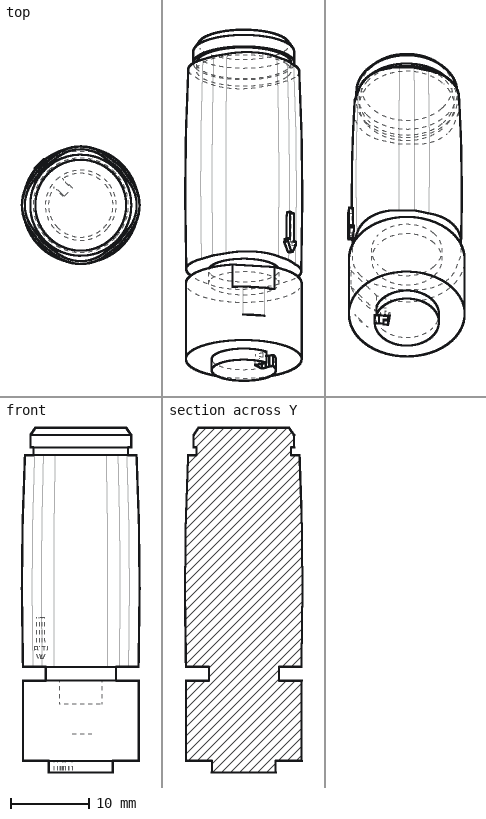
import cadquery as cq
import math

NUT_BOTTOM_Z = 1.5
NUT_TOP_Z = 11.75
SLEEVE_BOTTOM_Z = 13.5
SLEEVE_TOP_Z = 40.5
CAP_BOTTOM_Z = 41.5
TOTAL_HEIGHT = 44.0

TIP_RADIUS = 4.1
NUT_RADIUS = 7.4
NECK_RADIUS = 4.5
GROOVE_RADIUS = 6.05
CAP_RADIUS = 6.45
CAP_TOP_RADIUS = 5.8
CAP_CHAMFER_HEIGHT = 0.95

LOBE_RADIUS = 15.05 / 2
CREASE_RADIUS = 7.1
FACET_EDGE_ANGLE = 29.0
SLEEVE_WIDEST_Z = 23.5
SLEEVE_TOP_LOBE_RADIUS = 7.13
SLEEVE_SECTIONS_ABOVE_WIDEST = 2

DEEP_FLAT_Y = 6.88
SHALLOW_FLAT_Y = 7.27
DEEP_FLAT_BOTTOM_Z = 8.75
SHALLOW_FLAT_BOTTOM_Z = 4.95

KEY_ANGLE = 135.0

KEYWAY_MOUTH_WIDTH = 1.5
KEYWAY_MOUTH_FLOOR_RADIUS = 3.47
KEYWAY_SLOT_WIDTH = 1.36
KEYWAY_FLOOR_RADIUS = 2.3
KEYWAY_RELIEF_WIDTH = 1.6
KEYWAY_RELIEF_RADIUS = 2.9
KEYWAY_RELIEF_HEIGHT = 0.8

ARROW_FACE_RADIUS = 7.48
ARROW_ROOT_RADIUS = 6.0
ARROW_TOP_Z = 19.8
ARROW_HEAD_TOP_Z = 16.1
ARROW_HEAD_SHOULDER_Z = 15.7
ARROW_TIP_Z = 14.55
ARROW_SHAFT_WIDTH = 0.95
ARROW_HEAD_WIDTH = 1.75
ARROW_TIP_WIDTH = 0.3


def cylinder(radius, bottom_z, top_z):
    return cq.Workplane("XY").workplane(offset=bottom_z).circle(radius).extrude(top_z - bottom_z)


def box_between(x_range, y_range, z_range):
    sizes = [high - low for low, high in (x_range, y_range, z_range)]
    corner = (x_range[0], y_range[0], z_range[0])
    return cq.Workplane("XY").box(*sizes, centered=False).translate(corner)


def polar_point(radius, angle):
    return (radius * math.cos(math.radians(angle)), radius * math.sin(math.radians(angle)))


def turn_to_key(shape):
    """Turn a shape built along +X to the key direction."""
    return shape.rotate((0, 0, 0), (0, 0, 1), KEY_ANGLE)


def sleeve_lobe_radius(z):
    """Lobe radius at height z: a shallow barrel curve, widest at SLEEVE_WIDEST_Z."""
    top_drop = LOBE_RADIUS - SLEEVE_TOP_LOBE_RADIUS
    return LOBE_RADIUS - top_drop * ((z - SLEEVE_WIDEST_Z) / (SLEEVE_TOP_Z - SLEEVE_WIDEST_Z)) ** 2


def add_sleeve_section(workplane, radius):
    """Add one closed sleeve outline with the given lobe radius."""
    facet_radius = CREASE_RADIUS * radius / LOBE_RADIUS
    outline = workplane.moveTo(*polar_point(facet_radius, -FACET_EDGE_ANGLE))
    for lobe_angle in (0, 90, 180, 270):
        lobe_peak = polar_point(radius, lobe_angle)
        lobe_end = polar_point(facet_radius, lobe_angle + FACET_EDGE_ANGLE)
        outline = outline.threePointArc(lobe_peak, lobe_end)
        outline = outline.lineTo(*polar_point(facet_radius, lobe_angle + 45))
        if lobe_angle < 270:
            outline = outline.lineTo(*polar_point(facet_radius, lobe_angle + 90 - FACET_EDGE_ANGLE))
    return outline.close()


def make_sleeve():
    step = (SLEEVE_TOP_Z - SLEEVE_WIDEST_Z) / SLEEVE_SECTIONS_ABOVE_WIDEST
    heights = [SLEEVE_BOTTOM_Z, SLEEVE_WIDEST_Z]
    heights += [SLEEVE_WIDEST_Z + step * (i + 1) for i in range(SLEEVE_SECTIONS_ABOVE_WIDEST)]
    sleeve = cq.Workplane("XY")
    previous_z = 0
    for z in heights:
        sleeve = add_sleeve_section(sleeve.workplane(offset=z - previous_z), sleeve_lobe_radius(z))
        previous_z = z
    return sleeve.loft(ruled=False, combine=True)


def make_arrow():
    half_outline = [
        (ARROW_SHAFT_WIDTH / 2, ARROW_TOP_Z),
        (ARROW_SHAFT_WIDTH / 2, ARROW_HEAD_TOP_Z),
        (ARROW_HEAD_WIDTH / 2, ARROW_HEAD_TOP_Z),
        (ARROW_HEAD_WIDTH / 2, ARROW_HEAD_SHOULDER_Z),
        (ARROW_TIP_WIDTH / 2, ARROW_TIP_Z),
    ]
    mirrored = [(-y, z) for y, z in reversed(half_outline)]
    plate = cq.Workplane("YZ").workplane(offset=ARROW_ROOT_RADIUS).polyline(half_outline + mirrored)
    return turn_to_key(plate.close().extrude(ARROW_FACE_RADIUS - ARROW_ROOT_RADIUS))


def make_nut():
    nut = cylinder(NUT_RADIUS, NUT_BOTTOM_Z, NUT_TOP_Z)
    full_width = (-NUT_RADIUS, NUT_RADIUS)
    deep_flat = box_between(full_width, (DEEP_FLAT_Y, NUT_RADIUS), (DEEP_FLAT_BOTTOM_Z, NUT_TOP_Z))
    shallow_flat = box_between(
        full_width, (SHALLOW_FLAT_Y, NUT_RADIUS), (SHALLOW_FLAT_BOTTOM_Z, DEEP_FLAT_BOTTOM_Z)
    )
    return nut.cut(deep_flat).cut(shallow_flat)


def keyway_step(width, inner_radius, outer_radius, height):
    """One straight-sided step of the keyway, rising from the tip end face."""
    return box_between((inner_radius, outer_radius), (-width / 2, width / 2), (0, height))


def make_tip():
    tip = cylinder(TIP_RADIUS, 0, NUT_BOTTOM_Z)
    mouth = keyway_step(KEYWAY_MOUTH_WIDTH, KEYWAY_MOUTH_FLOOR_RADIUS, TIP_RADIUS, NUT_BOTTOM_Z)
    slot = keyway_step(KEYWAY_SLOT_WIDTH, KEYWAY_FLOOR_RADIUS, TIP_RADIUS, NUT_BOTTOM_Z)
    relief = keyway_step(
        KEYWAY_RELIEF_WIDTH, KEYWAY_FLOOR_RADIUS, KEYWAY_RELIEF_RADIUS, KEYWAY_RELIEF_HEIGHT
    )
    return tip.cut(turn_to_key(mouth.union(slot).union(relief)))


def make_cap():
    cap = cylinder(CAP_RADIUS, CAP_BOTTOM_Z, TOTAL_HEIGHT)
    return cap.faces(">Z").edges().chamfer(CAP_CHAMFER_HEIGHT, CAP_RADIUS - CAP_TOP_RADIUS)


neck = cylinder(NECK_RADIUS, NUT_TOP_Z, SLEEVE_BOTTOM_Z)
groove_core = cylinder(GROOVE_RADIUS, SLEEVE_TOP_Z, CAP_BOTTOM_Z)

result = make_tip()
for section in (make_nut(), neck, make_sleeve(), make_arrow(), groove_core, make_cap()):
    result = result.union(section)